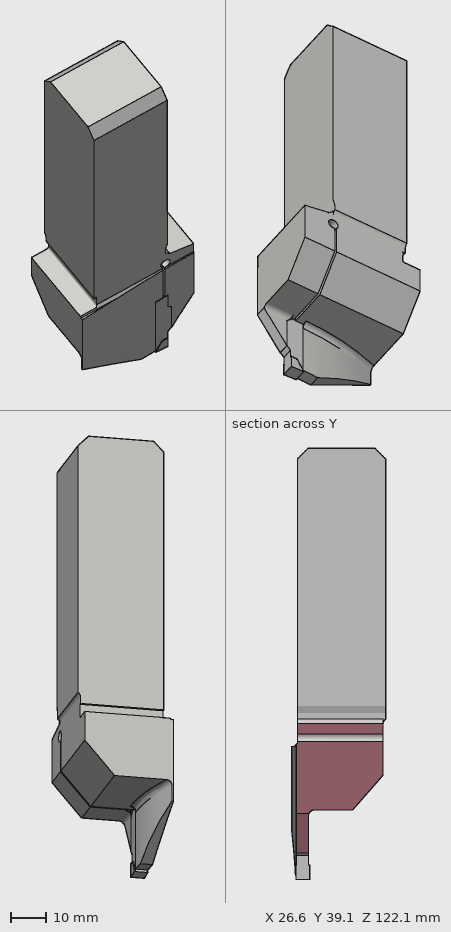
import cadquery as cq
import math


shank_width = 25.0
tool_length = 122.1
end_chamfer = 3.0
neck_depth = 0.6
neck_bottom = 45.4
neck_top = 47.1
neck_run_out = 49.1

head_left = 0.7
relief_height = 1.5
head_back = 34.1
head_front = -5.0
head_top = 44.0
head_back_top = 42.4
head_bottom = 19.7
ledge_height = 38.1
ledge_step = 0.9
ledge_step_top = 42.1
ledge_fillet = 0.6
bevel_start = 29.5
bevel_end = 9.4

outer_back = 25.3
outer_middle = 25.8
outer_front = 26.6
outer_middle_y = 11.0
bulge_top = 37.7
bulge_chamfer = 0.9
blade_left = 21.9
blade_front_left = 26.1
blade_curve_start = 20.8
blade_curve_run = blade_curve_start - head_front
blade_curve_rise = blade_front_left - blade_left
blade_inner_radius = (blade_curve_run**2 + blade_curve_rise**2) / (2 * blade_curve_rise)
blade_fillet = 1.6
blade_back_top = 18.9
blade_bottom = 1.1
blade_bottom_front = 15.8
blade_front_bottom = 13.4

slit_hole_radius = 1.6
slit_hole_y = 24.4
slit_hole_z = 40.2
slit_front = 23.3
slit_width = 0.6

insert_front = blade_curve_start
insert_back = 25.0
insert_top = 24.7
insert_shoulder = 26.3
shoulder_bottom = 8.0
shoulder_chamfer = insert_shoulder - insert_back
tip_overhang = 0.4
tip_height = 4.2
tip_flat = 2.0
tip_clearance = 0.4

through_length = 73.3


def yz_prism(points, x_start, x_end):
    """Extrude a Y-Z outline along X."""
    return cq.Workplane("YZ").workplane(offset=x_start).polyline(points).close().extrude(x_end - x_start)


def make_shank():
    shank = cq.Workplane("XY").box(shank_width, shank_width, tool_length - head_top, centered=False)
    shank = shank.translate((0, 0, head_top)).faces(">Z").edges("|Y").chamfer(end_chamfer)
    back = shank_width
    neck = back - neck_depth
    neck_cut = yz_prism(
        [(neck, head_top), (neck, neck_top), (back, neck_run_out), (back, head_top)], 0, shank_width)
    radius = (head_left**2 + relief_height**2) / (2 * head_left)
    half_angle = math.asin(relief_height / radius) / 2
    arc_middle = (
        head_left - radius * (1 - math.cos(half_angle)),
        head_top + radius * math.sin(half_angle),
    )
    relief_cut = (
        cq.Workplane("XZ").moveTo(0, head_top).lineTo(head_left, head_top)
        .threePointArc(arc_middle, (0, head_top + relief_height)).close().extrude(-shank_width)
    )
    return shank.cut(neck_cut).cut(relief_cut)


def make_plan(left_outline):
    """Start an X-Y outline on the curved outer face and close it along the given left points."""
    return (
        cq.Workplane("XY").moveTo(outer_back, head_back)
        .threePointArc((outer_middle, outer_middle_y), (outer_front, head_front))
        .polyline(left_outline, includeCurrent=True).close().extrude(tool_length)
    )


def make_head():
    plan = make_plan([(head_left, head_front), (head_left, head_back)])
    front_outline = (
        cq.Workplane("XZ").polyline([
            (head_left, neck_bottom),
            (head_left, bevel_start),
            (bevel_end, head_bottom),
            (outer_front, head_bottom),
            (outer_front, bulge_top),
            (shank_width + bulge_chamfer, bulge_top),
            (shank_width, bulge_top + bulge_chamfer),
            (shank_width, neck_bottom),
        ]).close().extrude(through_length, both=True)
    )
    neck = shank_width - neck_depth
    flare = neck_bottom - head_top
    side_outline = yz_prism([
        (head_front, 0), (head_front, ledge_height), (ledge_step, ledge_height),
        (ledge_step, ledge_step_top), (0, ledge_step_top), (0, head_top),
        (neck, head_top), (neck, neck_bottom), (neck + flare, head_top),
        (head_back, head_back_top), (head_back, 0),
    ], 0, outer_front)
    root = cq.NearestToPointSelector((shank_width / 2, ledge_step, ledge_height))
    side_outline = side_outline.edges("|X").edges(root).fillet(ledge_fillet)
    return plan.intersect(front_outline).intersect(side_outline)


def make_inner_space(offset):
    """Open space left of the blade's inner face, set back from that face by the offset."""
    radius = blade_inner_radius
    half_angle = math.asin(blade_curve_run / radius) / 2
    middle = (
        blade_left + radius * (1 - math.cos(half_angle)),
        blade_curve_start - radius * math.sin(half_angle),
    )
    space = (
        cq.Workplane("XY").moveTo(0, head_back).lineTo(blade_left, head_back)
        .lineTo(blade_left, blade_curve_start)
        .threePointArc(middle, (blade_front_left, head_front)).lineTo(0, head_front).close()
        .extrude(head_bottom)
    )
    return space.translate((-offset, 0, 0))


def make_blade():
    slab = make_plan([(bevel_end, head_front), (bevel_end, head_back)])
    outline = yz_prism([
        (head_back, head_bottom), (head_back, blade_back_top), (insert_shoulder, shoulder_bottom),
        (insert_shoulder, blade_bottom), (blade_bottom_front, blade_bottom),
        (head_front, blade_front_bottom), (head_front, head_bottom),
    ], 0, outer_front)
    solid = slab.intersect(outline)
    blade = solid.cut(make_inner_space(0))
    corner = solid.intersect(make_inner_space(0)).cut(make_inner_space(blade_fillet))
    corner = corner.intersect(
        cq.Workplane("XY").box(through_length, through_length, blade_fillet)
        .translate((0, 0, head_bottom - blade_fillet / 2)))
    radius = blade_inner_radius
    tube_x = blade_left - blade_fillet
    tube_z = head_bottom - blade_fillet
    straight_tube = (
        cq.Workplane("XZ", origin=(0, blade_curve_start, 0)).center(tube_x, tube_z)
        .circle(blade_fillet).extrude(blade_curve_start - head_back)
    )
    curved_tube = (
        cq.Workplane("XZ", origin=(blade_left + radius, blade_curve_start, 0))
        .center(-radius - blade_fillet, tube_z).circle(blade_fillet)
        .revolve(90, (radius + blade_fillet, -tube_z), (radius + blade_fillet, 1.2 - tube_z))
    )
    return blade.union(corner.cut(straight_tube).cut(curved_tube))


def make_insert_body():
    """Insert without its wider cutting tip."""
    return yz_prism([
        (insert_front, tip_clearance), (insert_back, 0),
        (insert_back, shoulder_bottom - shoulder_chamfer),
        (insert_shoulder, shoulder_bottom), (insert_shoulder, head_bottom - blade_fillet),
        (insert_back, head_bottom - blade_fillet + shoulder_chamfer),
        (insert_back, insert_top), (insert_front, insert_top),
    ], blade_left, outer_back)


def make_insert():
    tip_outline = [
        (insert_back, 0), (insert_back, tip_height), (insert_back - tip_flat, tip_height),
        (insert_front, tip_clearance),
    ]
    tip = yz_prism(tip_outline, blade_left - tip_overhang, outer_back + tip_overhang / 2)
    return make_insert_body().union(tip)


def make_holder():
    holder = make_shank().union(make_head()).union(make_blade())
    hole = (
        cq.Workplane("YZ").center(slit_hole_y, slit_hole_z).circle(slit_hole_radius)
        .extrude(through_length)
    )
    slit = (
        cq.Workplane("XY").box(through_length, slit_width, slit_hole_z - head_bottom, centered=False)
        .translate((0, slit_front, head_bottom))
    )
    pocket = yz_prism([
        (insert_front, 0), (insert_shoulder, 0), (insert_shoulder, head_bottom - blade_fillet),
        (insert_back, head_bottom - blade_fillet + shoulder_chamfer),
        (insert_back, head_bottom), (insert_front, head_bottom),
    ], 0, through_length)
    seat = yz_prism([
        (insert_front, head_bottom - blade_fillet), (insert_back, head_bottom - blade_fillet),
        (insert_back, insert_top), (insert_front, insert_top),
    ], blade_left, through_length)
    return holder.cut(hole).cut(slit).cut(pocket).cut(seat)


holder = make_holder()
insert = make_insert()
result = cq.Compound.makeCompound([holder.val(), insert.val()])